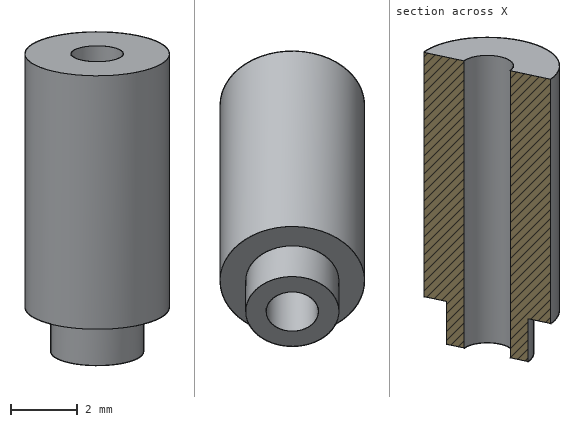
import cadquery as cq

body_diameter = 4.35
body_height = 8.0
spigot_diameter = 2.8
spigot_height = 1.4
bore_diameter = 1.57


def make_body():
    """Main cylinder, standing on the shoulder plane at Z = 0."""
    return cq.Workplane("XY").circle(body_diameter / 2).extrude(body_height)


def make_spigot():
    """Narrow cylinder reaching down from the shoulder plane."""
    return cq.Workplane("XY").circle(spigot_diameter / 2).extrude(-spigot_height)


def make_bore():
    """Cutter for the central hole through the body and the spigot."""
    return (
        cq.Workplane("XY", origin=(0, 0, -spigot_height))
        .circle(bore_diameter / 2)
        .extrude(spigot_height + body_height)
    )


result = make_body().union(make_spigot()).cut(make_bore())